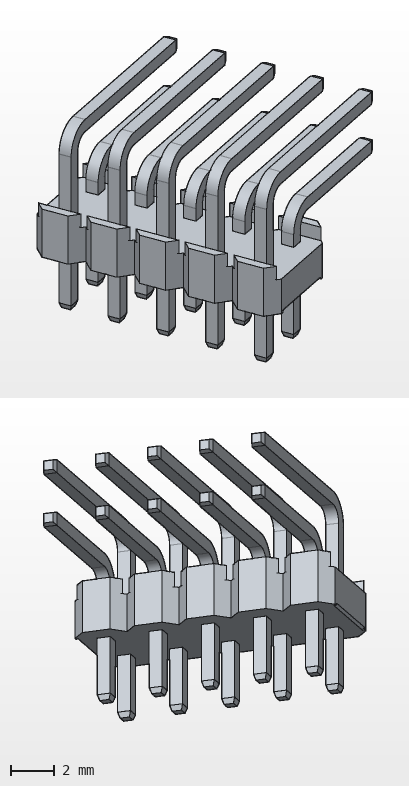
import cadquery as cq

PITCH = 2.54
COLUMNS = 5
ROWS = 2

HOUSING_LENGTH = COLUMNS * PITCH
HOUSING_DEPTH = ROWS * PITCH
HOUSING_HEIGHT = 2.5
DECK_HEIGHT = 1.8
CORNER_CUT_X = 0.6
CORNER_CUT_Y = 0.61
RIM_THICKNESS = 0.45

BEVEL_HEIGHT = 0.11
BEVEL_LENGTH = 3.6
BEVEL_END_SLOPE = 0.06

PIN_SIZE = 0.64
BEND_OUTER_RADIUS = 1.32
BEND_RADIUS = BEND_OUTER_RADIUS - PIN_SIZE / 2
PIN_BOTTOM = -3.0
FRONT_PIN_TOP = 6.32
PIN_REACH = 8.53
TIP_LENGTH = 0.27
TIP_SIZE = 0.46

column_places = [(i - (COLUMNS - 1) / 2) * PITCH for i in range(COLUMNS)]


def housing_segment(x):
    """One pitch of the housing: a block with its four upright corners cut off."""
    half_width = PITCH / 2
    half_depth = HOUSING_DEPTH / 2
    flat_x = half_width - CORNER_CUT_X
    flat_y = half_depth - CORNER_CUT_Y
    outline = [
        (-half_width, -flat_y),
        (-flat_x, -half_depth),
        (flat_x, -half_depth),
        (half_width, -flat_y),
        (half_width, flat_y),
        (flat_x, half_depth),
        (-flat_x, half_depth),
        (-half_width, flat_y),
    ]
    return cq.Workplane("XY").center(x, 0).polyline(outline).close().extrude(HOUSING_HEIGHT)


def deck_channel():
    """Space above the sunken deck, between the front and back rims."""
    return (
        cq.Workplane("XY", origin=(0, 0, DECK_HEIGHT))
        .rect(HOUSING_LENGTH, HOUSING_DEPTH - 2 * RIM_THICKNESS)
        .extrude(HOUSING_HEIGHT - DECK_HEIGHT)
    )


def end_bevel(side):
    """Wedge under one end of the housing (side is -1 or +1), with sloping ends."""
    end = side * HOUSING_LENGTH / 2
    wedge = (
        cq.Workplane("XZ")
        .polyline([(end, 0), (end - side * BEVEL_HEIGHT, 0), (end, BEVEL_HEIGHT)])
        .close()
        .extrude(BEVEL_LENGTH / 2, both=True)
    )
    half_bottom = BEVEL_LENGTH / 2
    half_top = half_bottom - BEVEL_END_SLOPE
    trapezoid = (
        cq.Workplane("YZ")
        .polyline([(-half_bottom, 0), (half_bottom, 0), (half_top, BEVEL_HEIGHT), (-half_top, BEVEL_HEIGHT)])
        .close()
        .extrude(HOUSING_LENGTH, both=True)
    )
    return wedge.intersect(trapezoid)


def tip(start, direction):
    """Tapered pin end, from the full pin section down to the tip section."""
    plane = cq.Plane(origin=start, xDir=(1, 0, 0), normal=direction)
    return (
        cq.Workplane(plane)
        .rect(PIN_SIZE, PIN_SIZE)
        .workplane(offset=TIP_LENGTH)
        .rect(TIP_SIZE, TIP_SIZE)
        .loft(ruled=True)
    )


def pin(x, y, top):
    """Bent pin: upright through the housing at (x, y), then level towards +Y."""
    axis_height = top - PIN_SIZE / 2
    foot = PIN_BOTTOM + TIP_LENGTH
    nose = PIN_REACH - TIP_LENGTH
    path = (
        cq.Workplane("YZ", origin=(x, 0, 0))
        .moveTo(y, foot)
        .lineTo(y, axis_height - BEND_RADIUS)
        .radiusArc((y + BEND_RADIUS, axis_height), BEND_RADIUS)
        .lineTo(nose, axis_height)
    )
    bent_bar = cq.Workplane("XY", origin=(x, y, foot)).rect(PIN_SIZE, PIN_SIZE).sweep(path)
    lower_tip = tip((x, y, foot), (0, 0, -1))
    level_tip = tip((x, nose, axis_height), (0, 1, 0))
    return bent_bar.union(lower_tip).union(level_tip)


housing = housing_segment(column_places[0])
for place in column_places[1:]:
    housing = housing.union(housing_segment(place))
housing = housing.cut(deck_channel())
for side in (-1, 1):
    housing = housing.cut(end_bevel(side))

result = housing
for row in range(ROWS):
    row_y = (row - (ROWS - 1) / 2) * PITCH
    for place in column_places:
        result = result.union(pin(place, row_y, FRONT_PIN_TOP - row * PITCH))